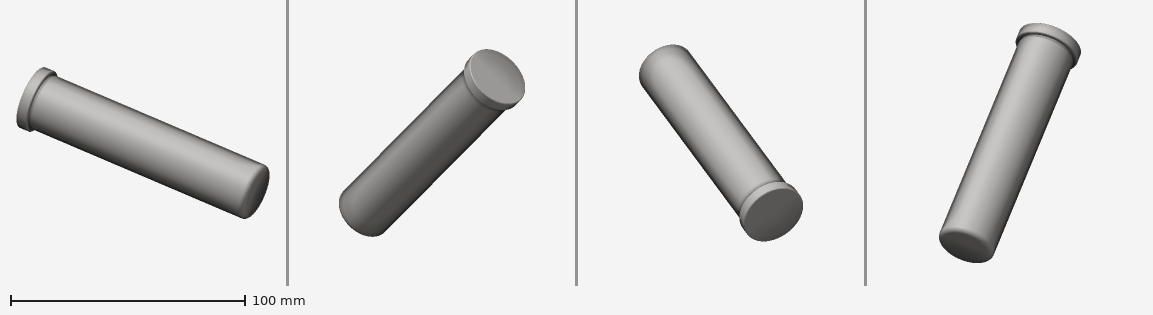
import cadquery as cq

total_length = 110.0
head_diameter = 28.0
head_length = 5.1
head_edge_chamfer = 0.3
shank_diameter = 25.0
groove_width = 1.3
groove_depth = 0.3
tip_fillet = 2.2

head_radius = head_diameter / 2
shank_radius = shank_diameter / 2


def cylinder(start, length, radius):
    """Solid cylinder on the X axis, beginning at x = start."""
    return cq.Workplane("YZ", origin=(start, 0, 0)).circle(radius).extrude(length)


head = cylinder(0, head_length, head_radius).edges().chamfer(head_edge_chamfer)

groove_floor = cylinder(head_length, groove_width, shank_radius - groove_depth)

shank_start = head_length + groove_width - groove_depth
shank = cylinder(shank_start, total_length - shank_start, shank_radius)
shank = shank.faces("<X").edges().chamfer(groove_depth)
shank = shank.faces(">X").edges().fillet(tip_fillet)

result = head.union(groove_floor).union(shank)